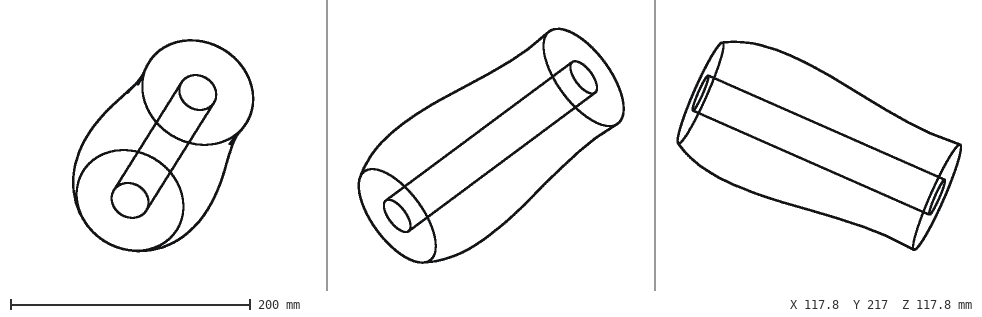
import cadquery as cq

length = 217.0
max_diameter = 117.8
front_diameter = 92.2
rear_diameter = 96.0
neck_diameter = 93.7
bore_diameter = 32.0

belly_y = 59.0
neck_y = 180.1

shoulder_point = (21.7, 55.1)
taper_point = (119.4, 53.4)
side_points = [
    shoulder_point,
    (belly_y, max_diameter / 2),
    taper_point,
    (neck_y, neck_diameter / 2),
    (length, rear_diameter / 2),
]


def make_body():
    """Revolve the bulging outline about the Y axis into a solid handle."""
    outline = (
        cq.Workplane("XY")
        .lineTo(front_diameter / 2, 0)
        .spline([(radius, y) for y, radius in side_points], includeCurrent=True)
        .lineTo(0, length)
        .close()
    )
    return outline.revolve(360, (0, 0, 0), (0, 1, 0))


def make_bore():
    """Round through hole along the Y axis."""
    return cq.Workplane("XZ").circle(bore_diameter / 2).extrude(-length)


result = make_body().cut(make_bore())